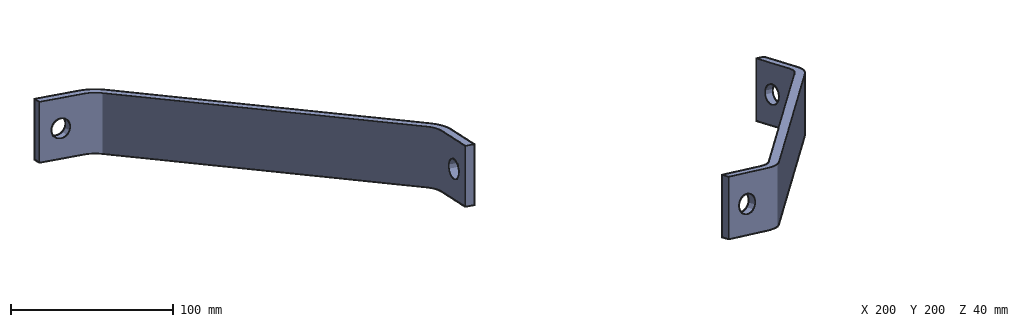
import cadquery as cq
import math

span = 200.0
width = 40.0
thickness = 6.5
flat_length = 31.0
inner_radius = 15.0
hole_diameter = 13.0
hole_end_distance = 15.0

outer_radius = inner_radius + thickness
bend_angle = math.radians(45)


def mirrored(point):
    """Reflect a point across the strap's diagonal symmetry line."""
    x, y = point
    return (span - y, span - x)


def bend_point(radius, angle):
    """Point on the lower bend, with the angle measured from the Y-direction tab."""
    return (
        outer_radius - radius * math.cos(angle),
        flat_length + radius * math.sin(angle),
    )


def bend_points(radius):
    """Start, middle and end of the lower bend at one face of the strap."""
    return [bend_point(radius, bend_angle * part) for part in (0, 0.5, 1)]


def make_strap():
    outer_start, outer_middle, outer_end = bend_points(outer_radius)
    inner_start, inner_middle, inner_end = bend_points(inner_radius)
    end_outer = (0, 0)
    end_inner = (thickness, 0)
    return (
        cq.Workplane("XY")
        .moveTo(*end_outer)
        .lineTo(*outer_start)
        .threePointArc(outer_middle, outer_end)
        .lineTo(*mirrored(outer_end))
        .threePointArc(mirrored(outer_middle), mirrored(outer_start))
        .lineTo(*mirrored(end_outer))
        .lineTo(*mirrored(end_inner))
        .lineTo(*mirrored(inner_start))
        .threePointArc(mirrored(inner_middle), mirrored(inner_end))
        .lineTo(*inner_end)
        .threePointArc(inner_middle, inner_start)
        .lineTo(*end_inner)
        .close()
        .extrude(width)
    )


def make_hole(center, direction):
    """Cutter that passes through one tab, starting at its outer face."""
    return cq.Workplane(
        cq.Solid.makeCylinder(
            hole_diameter / 2, thickness, cq.Vector(*center), cq.Vector(*direction)
        )
    )


mid_height = width / 2
lower_hole = make_hole((0, hole_end_distance, mid_height), (1, 0, 0))
upper_hole = make_hole((span - hole_end_distance, span, mid_height), (0, -1, 0))

result = make_strap().cut(lower_hole).cut(upper_hole)